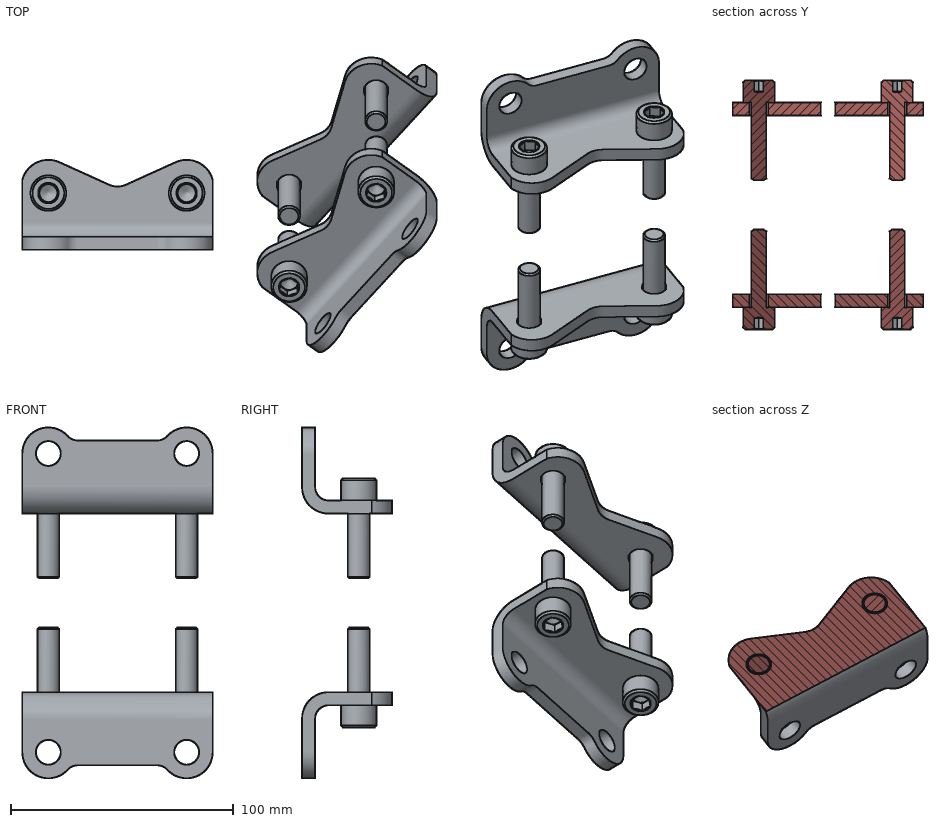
import cadquery as cq
import math

width = 85.5
depth = 40.5
overall_height = 157.5
flange_height = 38.7
thickness = 6.0
bend_inner_radius = 6.0
bend_outer_radius = bend_inner_radius + thickness

hole_spacing = 62.0
hole_x = hole_spacing / 2
hole_diameter = 11.0

ear_radius = width / 2 - hole_x
ear_z = flange_height - ear_radius
saddle_drop = 5.8
saddle_z = flange_height - saddle_drop
ear_fillet = 6.0

lobe_radius = 12.1
lobe_y = depth - lobe_radius
valley_y = 28.5
valley_radius = 9.3
screw_y = 25.5

shank_diameter = 10.0
shank_length = 35.0
shank_chamfer = 0.8
head_diameter = 16.0
head_height = 10.0
head_chamfer = 1.0
socket_width = 8.0
socket_depth = 5.0
socket_corner_diameter = socket_width / math.cos(math.radians(30))
socket_mouth_depth = 0.5
drill_point_angle = 120.0


def point_on_circle(center, radius, angle):
    """Point on a circle at an angle in degrees, counterclockwise from the first axis."""
    turn = math.radians(angle)
    return (center[0] + radius * math.cos(turn), center[1] + radius * math.sin(turn))


def mirrored(point):
    """The same point on the other side of the bracket's middle plane."""
    return (-point[0], point[1])


def bent_plate():
    """L-shaped strip, its bend along X, its outer faces at Y = 0 and Z = 0."""
    return (
        cq.Workplane("YZ")
        .moveTo(bend_outer_radius, 0)
        .lineTo(depth, 0)
        .lineTo(depth, thickness)
        .lineTo(bend_outer_radius, thickness)
        .radiusArc((thickness, bend_outer_radius), bend_inner_radius)
        .lineTo(thickness, flange_height)
        .lineTo(0, flange_height)
        .lineTo(0, bend_outer_radius)
        .radiusArc((bend_outer_radius, 0), -bend_outer_radius)
        .close()
        .extrude(width / 2, both=True)
    )


def vertical_flange_outline():
    """XZ outline with two ears; it limits only the top edge of the vertical flange."""
    ear = (hole_x, ear_z)
    fillet_z = saddle_z + ear_fillet
    rise = math.degrees(math.asin((fillet_z - ear_z) / (ear_radius + ear_fillet)))
    fillet_x = hole_x - (ear_radius + ear_fillet) * math.cos(math.radians(rise))
    fillet = (fillet_x, fillet_z)

    ear_side = point_on_circle(ear, ear_radius, 0)
    ear_top = point_on_circle(ear, ear_radius, 90)
    ear_end = point_on_circle(ear, ear_radius, 180 - rise)
    fillet_middle = point_on_circle(fillet, ear_fillet, -45 - rise / 2)
    fillet_end = (fillet_x, saddle_z)
    return (
        cq.Workplane("XZ")
        .moveTo(width / 2, 0)
        .lineTo(*ear_side)
        .threePointArc(ear_top, ear_end)
        .threePointArc(fillet_middle, fillet_end)
        .lineTo(*mirrored(fillet_end))
        .threePointArc(mirrored(fillet_middle), mirrored(ear_end))
        .threePointArc(mirrored(ear_top), mirrored(ear_side))
        .lineTo(-width / 2, 0)
        .close()
    )


def horizontal_flange_outline():
    """XY outline with two lobes joined to the valley by straight tangent lines."""
    lobe = (hole_x, lobe_y)
    valley = (0, valley_y + valley_radius)
    center_distance = math.hypot(hole_x, valley[1] - lobe_y)
    center_line = math.degrees(math.atan2(valley[1] - lobe_y, -hole_x))
    tangent_turn = math.degrees(math.acos((lobe_radius + valley_radius) / center_distance))
    tangent_angle = center_line - tangent_turn

    side_angle = math.degrees(math.acos((width / 2 - hole_x) / lobe_radius))
    lobe_side = point_on_circle(lobe, lobe_radius, side_angle)
    lobe_top = point_on_circle(lobe, lobe_radius, 90)
    lobe_end = point_on_circle(lobe, lobe_radius, tangent_angle)
    valley_start = point_on_circle(valley, valley_radius, tangent_angle + 180)
    return (
        cq.Workplane("XY")
        .moveTo(width / 2, 0)
        .lineTo(*lobe_side)
        .threePointArc(lobe_top, lobe_end)
        .lineTo(*valley_start)
        .threePointArc((0, valley_y), mirrored(valley_start))
        .lineTo(*mirrored(lobe_end))
        .threePointArc(mirrored(lobe_top), mirrored(lobe_side))
        .lineTo(-width / 2, 0)
        .close()
    )


def make_bracket():
    """Bracket with its bend at the bottom and its vertical flange pointing up."""
    hole_centers = [(-hole_x, 0), (hole_x, 0)]
    flange_holes = (
        cq.Workplane("XZ", origin=(0, 0, ear_z))
        .pushPoints(hole_centers)
        .circle(hole_diameter / 2)
        .extrude(-thickness)
    )
    screw_holes = (
        cq.Workplane("XY", origin=(0, screw_y, 0))
        .pushPoints(hole_centers)
        .circle(hole_diameter / 2)
        .extrude(thickness)
    )
    return (
        bent_plate()
        .intersect(vertical_flange_outline().extrude(-depth))
        .intersect(horizontal_flange_outline().extrude(flange_height))
        .cut(flange_holes)
        .cut(screw_holes)
    )


def hex_socket():
    """Hexagonal prism with corners toward +Y and -Y, open at the top of the head."""
    return (
        cq.Workplane("XY", origin=(0, 0, head_height))
        .polygon(6, socket_corner_diameter)
        .extrude(-socket_depth)
        .rotate((0, 0, 0), (0, 0, 1), 90)
    )


def socket_cones():
    """Countersink at the socket mouth, a round core, and a drill point below the flats."""
    mouth_radius = socket_corner_diameter / 2
    core_radius = socket_width / 2
    socket_floor_z = head_height - socket_depth
    point_depth = core_radius / math.tan(math.radians(drill_point_angle / 2))
    return (
        cq.Workplane("XZ")
        .moveTo(0, head_height)
        .lineTo(mouth_radius, head_height)
        .lineTo(core_radius, head_height - socket_mouth_depth)
        .lineTo(core_radius, socket_floor_z)
        .lineTo(0, socket_floor_z - point_depth)
        .close()
        .revolve(360, (0, 0, 0), (0, 1, 0))
    )


def make_screw():
    """Socket head screw on the Z axis, the underside of its head at Z = 0."""
    shank = (
        cq.Workplane("XY")
        .circle(shank_diameter / 2)
        .extrude(-shank_length)
        .faces("<Z")
        .chamfer(shank_chamfer)
    )
    head = (
        cq.Workplane("XY")
        .circle(head_diameter / 2)
        .extrude(head_height)
        .faces(">Z")
        .chamfer(head_chamfer)
    )
    return head.union(shank).cut(hex_socket()).cut(socket_cones())


plate_bottom_z = overall_height / 2 - flange_height
brackets = []
screws = []
for turn in (0, 180):
    bracket = make_bracket().translate((0, 0, plate_bottom_z))
    brackets.append(bracket.rotate((0, 0, 0), (0, 1, 0), turn).val())
    for screw_x in (-hole_x, hole_x):
        screw = make_screw().translate((screw_x, screw_y, plate_bottom_z + thickness))
        screws.append(screw.rotate((0, 0, 0), (0, 1, 0), turn).val())

result = cq.Compound.makeCompound([*brackets, *screws])